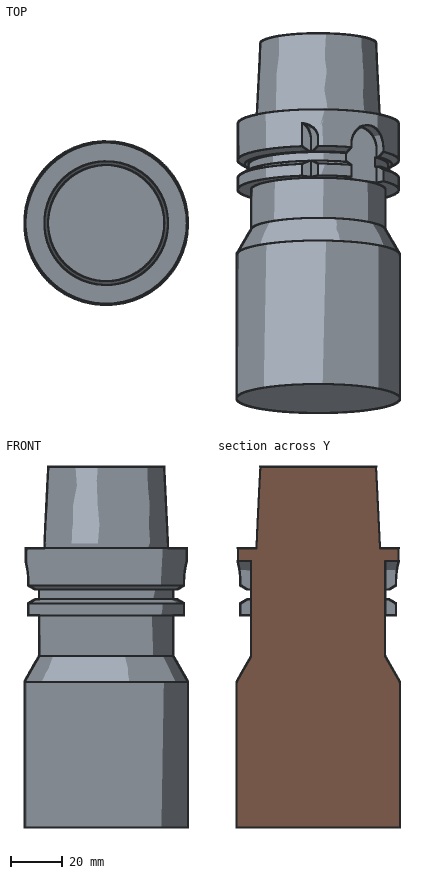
import cadquery as cq

total_height = 141.0
body_top = 57.0
neck_bottom = 67.0
flange_bottom = 82.9
flange_top = 109.1
collar_height = 1.7

body_radius = 64.0 / 2
neck_radius = 52.6 / 2
flange_radius = 63.0 / 2
shank_radius = 48.4 / 2
shank_tip_radius = 22.7

groove_radius = 54.5 / 2
groove_ledge_radius = 28.8
groove_floor_bottom = 89.3
groove_floor_top = 92.9
groove_flank_height = 1.7

slot_top = 104.0
drive_slot_width = 16.1
drive_slot_floor = neck_radius
notch_width = 12.3
notch_floor = 20.0
notch_inner_wall = 19.9
cut_outer_reach = flange_radius + 1.4


def turned_body():
    """Solid of revolution about Z: body, neck, grooved flange and tapered shank."""
    profile = [
        (0, 0),
        (body_radius, 0),
        (body_radius, body_top),
        (neck_radius, neck_bottom),
        (neck_radius, flange_bottom),
        (flange_radius, flange_bottom),
        (flange_radius, groove_floor_bottom - groove_flank_height),
        (groove_ledge_radius, groove_floor_bottom),
        (groove_radius, groove_floor_bottom),
        (groove_radius, groove_floor_top),
        (groove_ledge_radius, groove_floor_top),
        (flange_radius, groove_floor_top + groove_flank_height),
        (flange_radius, flange_top),
        (shank_radius, flange_top),
        (shank_radius, flange_top + collar_height),
        (shank_tip_radius, total_height),
        (0, total_height),
    ]
    return cq.Workplane("XZ").polyline(profile).close().revolve(360, (0, 0), (0, 1))


def round_topped_cutter(width, center_y, floor):
    """Cutter on the +X side, from the floor plane outwards through the flange."""
    radius = width / 2
    spring_height = slot_top - radius
    return (
        cq.Workplane("YZ", origin=(floor, 0, 0))
        .moveTo(center_y - radius, flange_bottom)
        .lineTo(center_y - radius, spring_height)
        .threePointArc((center_y, slot_top), (center_y + radius, spring_height))
        .lineTo(center_y + radius, flange_bottom)
        .close()
        .extrude(cut_outer_reach - floor)
    )


result = turned_body()

drive_slot = round_topped_cutter(drive_slot_width, 0, drive_slot_floor)
for angle in (0, 180):
    result = result.cut(drive_slot.rotate((0, 0, 0), (0, 0, 1), angle))

notch_center_y = notch_inner_wall + notch_width / 2
notch = round_topped_cutter(notch_width, notch_center_y, notch_floor)
result = result.cut(notch.mirror("YZ"))